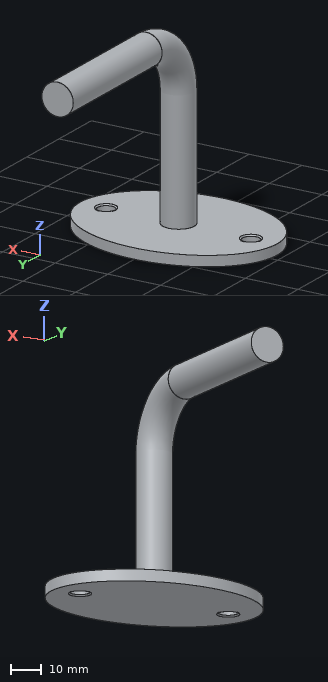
import cadquery as cq

plate_length = 75.0
plate_width = 55.0
plate_thickness = 4.0

hole_spacing = 55.0
hole_diameter = 6.5
hole_chamfer = 0.5

overall_depth = 102.5
overall_height = 76.0
bar_diameter = 12.0
bend_radius = 20.0

bar_radius = bar_diameter / 2
arm_axis_height = overall_height - bar_radius
bend_start_height = arm_axis_height - bend_radius
arm_end = overall_depth - plate_width / 2
arm_length = arm_end - bend_radius


def make_plate():
    """Oval plate with two screw holes on its long axis, chamfered at both ends."""
    oval = cq.Workplane("XY").ellipse(plate_length / 2, plate_width / 2).extrude(plate_thickness)
    drilled = (
        oval.faces(">Z").workplane(origin=(0, 0, plate_thickness))
        .pushPoints([(-hole_spacing / 2, 0), (hole_spacing / 2, 0)])
        .hole(hole_diameter)
    )
    hole_rims = drilled.faces("|Z").edges("%CIRCLE")
    return hole_rims.chamfer(hole_chamfer)


def make_bent_post():
    """Upright bar on the plate that ends in a quarter bend towards +Y."""
    path = (
        cq.Workplane("YZ")
        .moveTo(0, plate_thickness)
        .lineTo(0, bend_start_height)
        .radiusArc((bend_radius, arm_axis_height), bend_radius)
    )
    return cq.Workplane("XY", origin=(0, 0, plate_thickness)).circle(bar_radius).sweep(path)


def make_arm():
    """Straight horizontal bar that continues from the end of the bend."""
    bend_end = cq.Plane(origin=(0, bend_radius, arm_axis_height), xDir=(-1, 0, 0), normal=(0, 1, 0))
    return cq.Workplane(bend_end).circle(bar_radius).extrude(arm_length)


plate = make_plate()
bent_post = make_bent_post()
arm = make_arm()

result = cq.Compound.makeCompound([plate.val(), bent_post.val(), arm.val()])